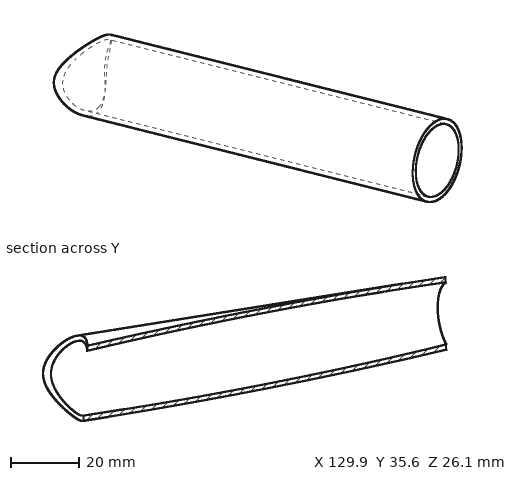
import cadquery as cq
import math

outer_radius = 12.5
wall = 1.5
inner_radius = outer_radius - wall
axis_length = 136.1

tube_yaw = -4.8
tube_rise = 0.53

cope_radius = 15.0
cope_offset_y = 0.3
cope_lean_x = 5.4
cope_lean_y = 4.0
cope_length = 6 * outer_radius


def skewed_tube():
    """Square-ended tube running from the origin along its skewed axis."""
    yaw = math.radians(tube_yaw)
    rise = math.radians(tube_rise)
    axis = cq.Vector(math.cos(rise) * math.cos(yaw), math.cos(rise) * math.sin(yaw), math.sin(rise))
    start_plane = cq.Plane(origin=(0, 0, 0), normal=axis)
    return cq.Workplane(start_plane).circle(outer_radius).circle(inner_radius).extrude(axis_length)


def cope_cutter():
    """Solid cylinder with the outside diameter of the crossing tube."""
    lean_x = math.tan(math.radians(cope_lean_x))
    lean_y = math.tan(math.radians(cope_lean_y))
    cross_plane = cq.Plane(origin=(0, cope_offset_y, 0), normal=(lean_x, lean_y, 1))
    return cq.Workplane(cross_plane).circle(cope_radius).extrude(cope_length / 2, both=True)


result = skewed_tube().cut(cope_cutter())